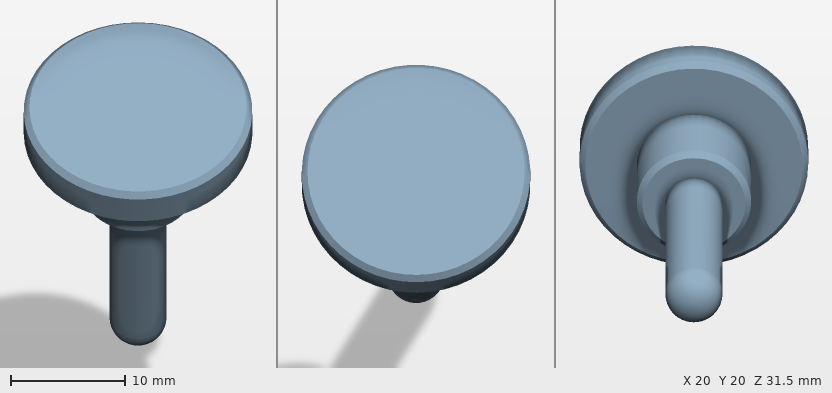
import cadquery as cq

total_height = 31.5
head_diameter = 20.0
head_thickness = 4.0
collar_diameter = head_diameter / 2
pin_diameter = head_diameter / 4
pin_length = 20.0
edge_chamfer = 0.5

head_radius = head_diameter / 2
collar_radius = collar_diameter / 2
pin_radius = pin_diameter / 2
head_bottom = total_height - head_thickness
collar_height = head_bottom - pin_length


def make_head():
    """Disc head with both rims chamfered."""
    disc = cq.Workplane("XY").workplane(offset=head_bottom).circle(head_radius).extrude(head_thickness)
    return disc.faces("<Z or >Z").chamfer(edge_chamfer)


def make_collar():
    """Collar under the head, chamfered at its lower rim."""
    collar = cq.Workplane("XY").workplane(offset=pin_length).circle(collar_radius).extrude(collar_height)
    return collar.faces("<Z").chamfer(edge_chamfer)


def make_pin():
    """Slender pin with a hemispherical tip."""
    shank_length = pin_length - pin_radius
    shank = cq.Workplane("XY").workplane(offset=pin_radius).circle(pin_radius).extrude(shank_length)
    tip = (
        cq.Workplane("XZ")
        .moveTo(0, 0)
        .radiusArc((pin_radius, pin_radius), -pin_radius)
        .lineTo(0, pin_radius)
        .close()
        .revolve(360, (0, 0), (0, 1))
    )
    return shank.union(tip)


result = make_head().union(make_collar()).union(make_pin())